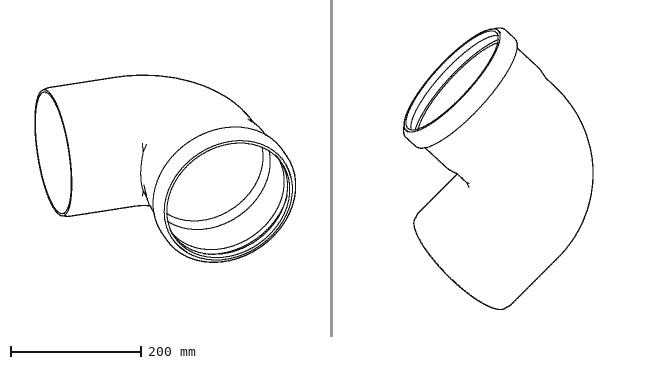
import cadquery as cq
import math

pipe_diameter = 201.0
pipe_bore = 189.3
spigot_length = 116.0
lead_in_length = 9.0
lead_in_depth = 2.3

bend_angle = 87.5
bend_radius = 94.0

neck_end = 19.0
flare_end = 36.0
ring_start = 96.5
ring_end = 120.0
socket_length = 126.3
socket_diameter = 209.3
ring_diameter = 225.5
socket_wall = 4.3
ring_fillet = 1.3

pipe_radius = pipe_diameter / 2
bore_radius = pipe_bore / 2
socket_radius = socket_diameter / 2
ring_radius = ring_diameter / 2
socket_bore_radius = socket_radius - socket_wall
groove_radius = ring_radius - socket_wall


def revolved(profile):
    """Solid of revolution about +Y from (radius, distance along axis) points."""
    points = [(0, profile[0][1])] + profile + [(0, profile[-1][1])]
    return cq.Workplane("XY").polyline(points).close().revolve(360, (0, 0, 0), (0, 1, 0))


def at_bend_end(body):
    """Move a body lying along +Y from the origin onto the outlet of the bend."""
    pivot = (bend_radius, 0, 0)
    return body.rotate(pivot, (bend_radius, 0, 1), -bend_angle)


def bend(radius):
    """Round bend, tighter than its section radius, so the section is cut off at the bend axis."""
    axis_start = (bend_radius, 0, 0)
    axis_end = (bend_radius, -1, 0)
    half_chord = math.sqrt(radius**2 - bend_radius**2)
    section = (
        cq.Workplane("XZ")
        .moveTo(bend_radius, -half_chord)
        .threePointArc((-radius, 0), (bend_radius, half_chord))
        .close()
    )
    return section.revolve(bend_angle, axis_start, axis_end)


def spigot_outside():
    return revolved([
        (pipe_radius - lead_in_depth, -spigot_length),
        (pipe_radius, lead_in_length - spigot_length),
        (pipe_radius, 0),
    ])


def spigot_bore():
    return revolved([(bore_radius, -spigot_length), (bore_radius, 0)])


def socket_outside():
    """Socket body with its ring rounded at the rims and at the foot of each side."""
    body = revolved([
        (pipe_radius, 0),
        (pipe_radius, neck_end),
        (socket_radius, flare_end),
        (socket_radius, ring_start),
        (ring_radius, ring_start),
        (ring_radius, ring_end),
        (socket_radius, ring_end),
        (socket_radius, socket_length),
    ])
    ring_zone = cq.selectors.BoxSelector(
        (-pipe_diameter, ring_start - ring_fillet, -pipe_diameter),
        (pipe_diameter, ring_end + ring_fillet, pipe_diameter),
        boundingbox=True,
    )
    return at_bend_end(body.edges(ring_zone).edges("%CIRCLE").fillet(ring_fillet))


def socket_bore():
    """Pipe bore widening to the socket, with a seal groove inside the ring."""
    groove_start = ring_start + socket_wall
    groove_end = ring_end - socket_wall
    return at_bend_end(revolved([
        (bore_radius, 0),
        (bore_radius, neck_end),
        (socket_bore_radius, flare_end),
        (socket_bore_radius, groove_start),
        (groove_radius, groove_start),
        (groove_radius, groove_end),
        (socket_bore_radius, groove_end),
        (socket_bore_radius, socket_length),
    ]))


outside = bend(pipe_radius).union(spigot_outside()).union(socket_outside())
passage = bend(bore_radius).union(spigot_bore()).union(socket_bore())
result = outside.cut(passage)